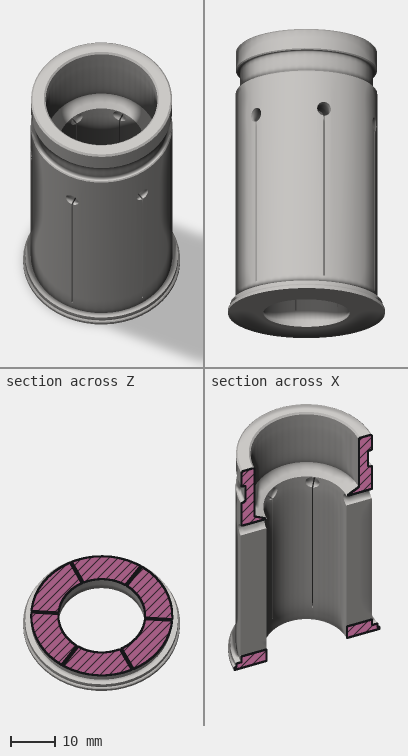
import cadquery as cq
import math

total_height = 62.5
flange_height = 2.0
rim_height = 0.9
head_height = 5.0
neck_height = 5.0
neck_top_z = total_height - head_height
shoulder_z = neck_top_z - neck_height

rim_diameter = 35.5
flange_diameter = 34.5
body_diameter = 32.0
head_diameter = 31.9
neck_diameter = 30.0

head_chamfer = 0.4
groove_chamfer = 0.25
rim_chamfer = 0.2
neck_fillet = 0.6
neck_top_fillet = 0.2

socket_diameter = 25.3
bore_diameter = 19.5
socket_depth = 15.5
cone_half_angle = 59.0
socket_chamfer = 0.4

slit_count = 6
slit_width = 0.3
slit_bottom_z = 3.8
relief_hole_diameter = 3.2
relief_hole_z = 43.5


def make_body():
    """Revolve the outer outline into a solid of stepped diameters."""
    rim_radius = rim_diameter / 2
    flange_radius = flange_diameter / 2
    body_radius = body_diameter / 2
    head_radius = head_diameter / 2
    neck_radius = neck_diameter / 2
    arc_inset = neck_fillet * (1 - math.sqrt(0.5))
    top_arc_inset = neck_top_fillet * (1 - math.sqrt(0.5))
    outline = (
        cq.Workplane("XZ")
        .lineTo(rim_radius, 0)
        .lineTo(rim_radius, rim_height - rim_chamfer)
        .lineTo(rim_radius - rim_chamfer, rim_height)
        .lineTo(flange_radius, rim_height)
        .lineTo(flange_radius, flange_height)
        .lineTo(body_radius, flange_height)
        .lineTo(body_radius, shoulder_z - groove_chamfer)
        .lineTo(body_radius - groove_chamfer, shoulder_z)
        .lineTo(neck_radius + neck_fillet, shoulder_z)
        .threePointArc(
            (neck_radius + arc_inset, shoulder_z + arc_inset),
            (neck_radius, shoulder_z + neck_fillet),
        )
        .lineTo(neck_radius, neck_top_z - neck_top_fillet)
        .threePointArc(
            (neck_radius + top_arc_inset, neck_top_z - top_arc_inset),
            (neck_radius + neck_top_fillet, neck_top_z),
        )
        .lineTo(head_radius - groove_chamfer, neck_top_z)
        .lineTo(head_radius, neck_top_z + groove_chamfer)
        .lineTo(head_radius, total_height - head_chamfer)
        .lineTo(head_radius - head_chamfer, total_height)
        .lineTo(0, total_height)
        .close()
    )
    return outline.revolve(360, (0, 0, 0), (0, 1, 0))


def make_bore():
    """Revolve the through bore with its wide socket, cone and entry chamfer."""
    socket_radius = socket_diameter / 2
    bore_radius = bore_diameter / 2
    socket_floor_z = total_height - socket_depth
    cone_height = (socket_radius - bore_radius) / math.tan(math.radians(cone_half_angle))
    outline = [
        (0, 0),
        (bore_radius, 0),
        (bore_radius, socket_floor_z - cone_height),
        (socket_radius, socket_floor_z),
        (socket_radius, total_height - socket_chamfer),
        (socket_radius + socket_chamfer, total_height),
        (0, total_height),
    ]
    return cq.Workplane("XZ").polyline(outline).close().revolve(360, (0, 0, 0), (0, 1, 0))


def make_slit(angle):
    """Radial slit with its relief hole, reaching from the axis past the body wall."""
    reach = rim_diameter / 2
    slit_height = relief_hole_z - slit_bottom_z
    slit = cq.Workplane("XY").box(reach, slit_width, slit_height, centered=(False, True, False))
    slit = slit.translate((0, 0, slit_bottom_z))
    hole = cq.Workplane("YZ").center(0, relief_hole_z).circle(relief_hole_diameter / 2).extrude(reach)
    return slit.union(hole).rotate((0, 0, 0), (0, 0, 1), angle)


result = make_body().cut(make_bore())
for index in range(slit_count):
    result = result.cut(make_slit(90 + index * 360 / slit_count))